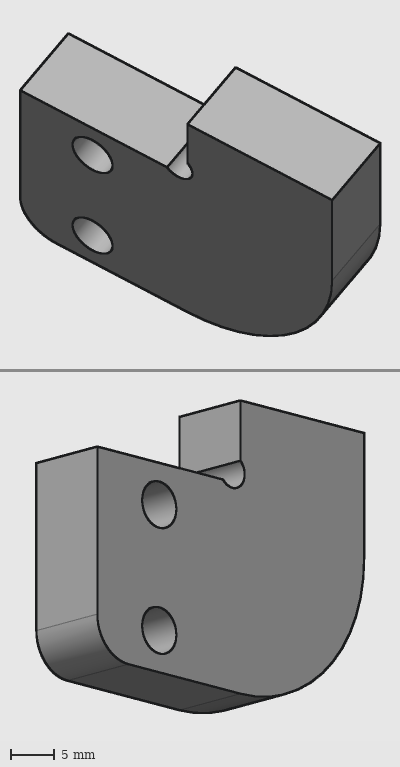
import cadquery as cq
import math

length = 43.15
thickness = 10.0
height = 35.0

upright_width = 20.0
foot_height = 25.0
outer_bend_radius = 20.0
toe_radius = 5.0

relief_radius = 2.0
relief_offset = 1.3

hole_diameter = 5.5
hole_x = 10.0
hole_heights = (5.0, 20.0)

inner_corner_x = length - upright_width


def plate():
    """L-shaped plate with a large outer bend, extruded along +Y."""
    toe_mid = toe_radius * (1 - math.sqrt(0.5))
    bend_mid = outer_bend_radius * (1 - math.sqrt(0.5))
    return (
        cq.Workplane("XZ", origin=(0, thickness, 0))
        .moveTo(toe_radius, 0)
        .lineTo(length - outer_bend_radius, 0)
        .threePointArc((length - bend_mid, bend_mid), (length, outer_bend_radius))
        .lineTo(length, height)
        .lineTo(inner_corner_x, height)
        .lineTo(inner_corner_x, foot_height)
        .lineTo(0, foot_height)
        .lineTo(0, toe_radius)
        .threePointArc((toe_mid, toe_mid), (toe_radius, 0))
        .close()
        .extrude(thickness)
    )


def through_cylinder(x, z, radius):
    """Cutter along Y through the full thickness."""
    return (
        cq.Workplane("XZ", origin=(0, thickness, 0))
        .center(x, z)
        .circle(radius)
        .extrude(thickness)
    )


result = plate()

result = result.cut(
    through_cylinder(inner_corner_x - relief_offset, foot_height + relief_offset, relief_radius)
)

for hole_z in hole_heights:
    result = result.cut(through_cylinder(hole_x, hole_z, hole_diameter / 2))